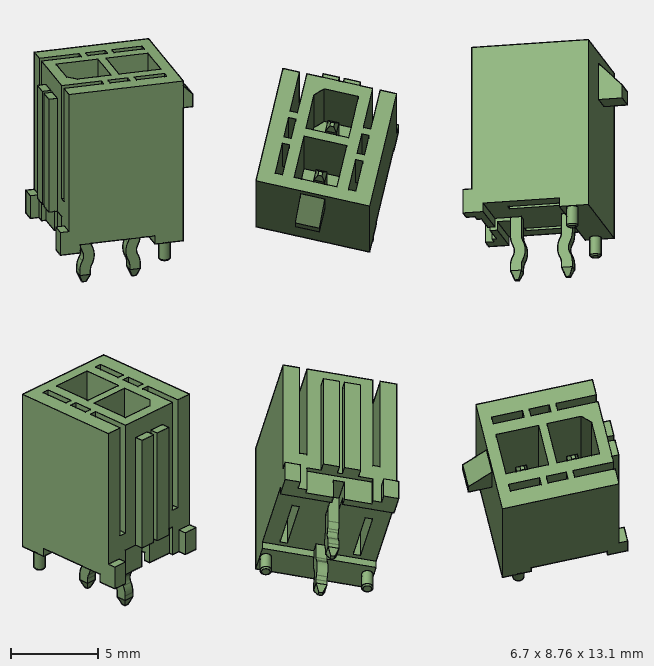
import cadquery as cq
import math


width = 6.7
depth = 6.86
height = 9.9
underside_z = 0.51
front_leg_depth = 0.68
rear_leg_depth = 1.7

pitch = 3.0
front_row_y = 1.91
rear_row_y = front_row_y + pitch

cavity_side = 2.52
cavity_chamfer = 0.5
floor_z = 2.9
slot_inner_x = 1.94
slot_width = 0.43
slot_rear_y = rear_row_y + cavity_side / 2
bar_thickness = 0.39
bar_bottom_z = 4.99
front_bar_y = 2.38
rear_bar_y = 3.95

front_relief = 0.51
rib_inner_x = 0.15
rib_width = 0.95
rib_top_z = height - 1.11
foot_width = 0.89
foot_height = 1.41
recess_height = 1.8
recess_depth = 0.26

latch_width = 1.41
latch_reach = 1.39
latch_ramp_top_z = height - 0.63
latch_bottom_z = height - 2.8

peg_diameter = 0.67
peg_length = 1.15
peg_chamfer = 0.09
peg_x = 2.99
peg_y = 5.84

pin_side = 0.64
pin_top_z = height - 2.62
pin_bottom_z = -3.2
tip_length = 0.5
tip_side = 0.24
bend_start_z = -0.6
bend_radius = 0.93
bend_shift = 0.229
upper_bend_angle = math.radians(24)
lower_bend_angle = math.acos(1 - bend_shift / (2 * bend_radius))


def block(x_range, y_range, z_range):
    """Box that spans the given X, Y and Z ranges."""
    (x0, x1), (y0, y1), (z0, z1) = x_range, y_range, z_range
    return cq.Workplane("XY").box(x1 - x0, y1 - y0, z1 - z0, centered=False).translate((x0, y0, z0))


def centred(size):
    """Range of the given size centred on zero."""
    return (-size / 2, size / 2)


def both_sides(shape):
    """The shape together with its mirror image across X = 0."""
    return shape.union(shape.mirror("YZ"))


def make_shell():
    shell = block(centred(width), (0, depth), (0, height))
    underside_gap = block(centred(width), (front_leg_depth, depth - rear_leg_depth), (0, underside_z))
    return shell.cut(underside_gap)


def make_cavities():
    cavity = (
        cq.Workplane("XY", origin=(0, 0, floor_z))
        .rect(cavity_side, cavity_side)
        .extrude(height - floor_z)
    )
    front = cavity.edges("|Z and >X and <Y").chamfer(cavity_chamfer).translate((0, front_row_y, 0))
    rear = cavity.translate((0, rear_row_y, 0))
    return front.union(rear)


def make_side_slots():
    x_range = (slot_inner_x, slot_inner_x + slot_width)
    slot = block(x_range, (0, slot_rear_y), (floor_z, height))
    opening = block(x_range, (front_row_y, rear_row_y), (0, floor_z))
    slot = slot.union(opening)
    for bar_y in (front_bar_y, rear_bar_y):
        slot = slot.cut(block(x_range, (bar_y, bar_y + bar_thickness), (bar_bottom_z, height)))
    return both_sides(slot)


def make_front_recess():
    recess = block(centred(2 * slot_inner_x), (0, recess_depth), (0, recess_height))
    pin_notch = block(centred(pin_side), (0, front_row_y), (0, foot_height))
    return recess.union(pin_notch)


def make_ribs_and_feet():
    y_range = (-front_relief, 0)
    rib = block((rib_inner_x, rib_inner_x + rib_width), y_range, (recess_height, rib_top_z))
    foot = block((width / 2 - foot_width, width / 2), y_range, (0, foot_height))
    return both_sides(rib.union(foot))


def make_latch():
    tip_y = depth + latch_reach
    return (
        cq.Workplane("YZ")
        .moveTo(depth, latch_bottom_z)
        .lineTo(depth, latch_ramp_top_z)
        .lineTo(tip_y, latch_ramp_top_z - latch_reach)
        .lineTo(tip_y, latch_bottom_z)
        .close()
        .extrude(latch_width / 2, both=True)
    )


def make_pegs():
    peg = (
        cq.Workplane("XY", origin=(peg_x, peg_y, 0))
        .circle(peg_diameter / 2)
        .extrude(-peg_length)
        .faces("<Z")
        .chamfer(peg_chamfer)
    )
    return both_sides(peg)


def make_pin_holes():
    return (
        cq.Workplane("XY")
        .pushPoints([(0, front_row_y), (0, rear_row_y)])
        .rect(pin_side, pin_side)
        .extrude(floor_z)
    )


def make_housing():
    housing = make_shell()
    for cutter in (make_cavities(), make_side_slots(), make_front_recess(), make_pin_holes()):
        housing = housing.cut(cutter)
    for addition in (make_ribs_and_feet(), make_latch(), make_pegs()):
        housing = housing.union(addition)
    return housing


def make_tip(base_z, direction):
    """Four-sided taper from the pin section, pointing up (1) or down (-1)."""
    return (
        cq.Workplane("XY", origin=(0, 0, base_z))
        .rect(pin_side, pin_side)
        .workplane(offset=direction * tip_length)
        .rect(tip_side, tip_side)
        .loft(ruled=True)
    )


def make_pin(row_y, kink_direction):
    """Square pin whose tail kinks towards +Y (1) or -Y (-1)."""
    upper_arc_y = bend_radius * (1 - math.cos(upper_bend_angle))
    upper_arc_z = bend_radius * math.sin(upper_bend_angle)
    ramp_y = bend_shift - 2 * upper_arc_y
    ramp_z = ramp_y / math.tan(upper_bend_angle)
    lower_arc_z = bend_radius * math.sin(lower_bend_angle)

    shank_top_z = pin_top_z - tip_length
    shank_bottom_z = pin_bottom_z + tip_length
    path = (
        cq.Workplane("YZ")
        .moveTo(0, shank_top_z)
        .lineTo(0, bend_start_z)
        .tangentArcPoint((upper_arc_y, -upper_arc_z))
        .line(ramp_y, -ramp_z)
        .tangentArcPoint((upper_arc_y, -upper_arc_z))
        .tangentArcPoint((-bend_shift / 2, -lower_arc_z))
        .tangentArcPoint((-bend_shift / 2, -lower_arc_z))
        .lineTo(0, shank_bottom_z)
    )
    shank = cq.Workplane("XY", origin=(0, 0, shank_top_z)).rect(pin_side, pin_side).sweep(path)
    pin = shank.union(make_tip(shank_top_z, 1)).union(make_tip(shank_bottom_z, -1))
    if kink_direction < 0:
        pin = pin.mirror("XZ")
    return pin.translate((0, row_y, 0))


housing = make_housing()
pins = [make_pin(row_y, kink) for row_y, kink in ((front_row_y, 1), (rear_row_y, -1))]

result = cq.Compound.makeCompound([*housing.solids().vals(), *[pin.solids().val() for pin in pins]])